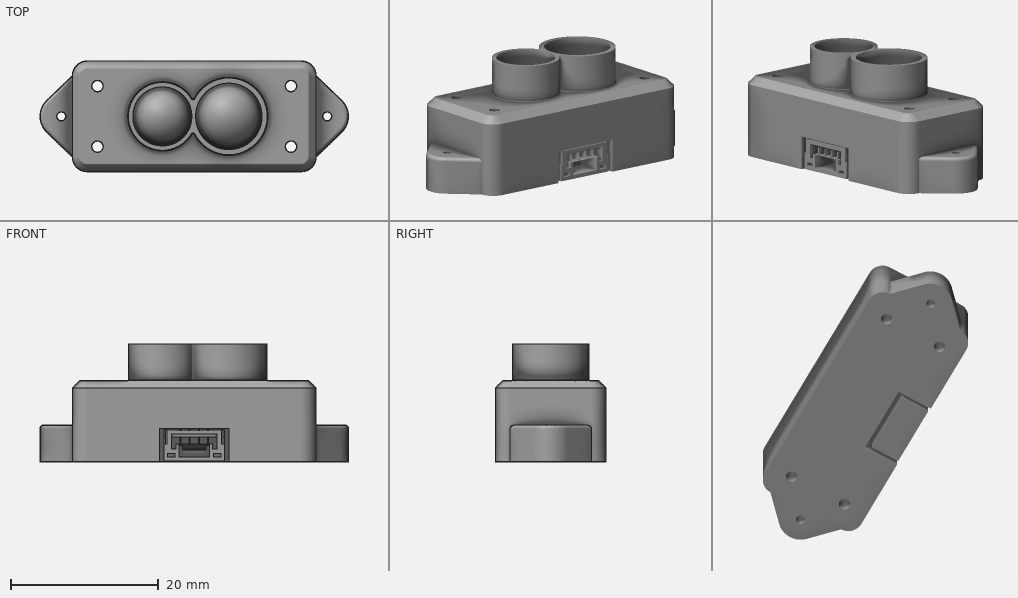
import cadquery as cq
import math

BODY_LENGTH = 33.0
BODY_WIDTH = 15.0
BODY_HEIGHT = 11.0
CORNER_RADIUS = 2.0
TOP_CHAMFER = 1.0
TOP_EDGE_RADIUS = 0.2

EAR_HEIGHT = 5.0
EAR_HOLE_X = 18.0
EAR_HOLE_DIAMETER = 1.18
EAR_TIP_RADIUS = 3.0
EAR_TIP_X = 20.88
EAR_ROOT_HALF_WIDTH = BODY_WIDTH / 2 - CORNER_RADIUS
EAR_EDGE_RADIUS = 0.5

SCREW_HOLE_DIAMETER = 1.5
SCREW_SPACING_X = 26.2
SCREW_SPACING_Y = 8.2

BARREL_TOP = 16.0
TUBE_ROOT = BODY_HEIGHT - TOP_CHAMFER
BARREL_BLEND = 0.1
WAIST_RADIUS = 0.25
SMALL_LENS_DIAMETER = 8.0
LARGE_LENS_DIAMETER = 9.0
SMALL_TUBE_DIAMETER = 9.2
LARGE_TUBE_DIAMETER = 10.4
SMALL_LENS_SEAT = 9.6
LARGE_LENS_SEAT = 10.0
SMALL_LENS_X = -4.32
LARGE_LENS_X = 4.68

FACE_Y = -BODY_WIDTH / 2
POCKET_WIDTH = 9.4
POCKET_HEIGHT = 4.55
POCKET_DEPTH = 5.0
SETBACK = 0.1
PLUG_FACE_Y = FACE_Y + SETBACK
PLUG_WIDTH = 8.25
PLUG_DEPTH = 4.05
PLUG_BOTTOM = 0.12
PLUG_TOP = 4.3
PLUG_WALL_Z = 2.4
PLUG_STEP_Z = 3.4
STEP_DEPTH = 1.0
TAB_THICKNESS = 0.2
TAB_LENGTH = 2.0
TAB_INSET = 0.25

MOUTH_WIDTH = 6.2
MOUTH_TOP = 3.8
MOUTH_CEILING = 3.4
MOUTH_DEPTH = 3.4
SHELF_Z = 2.45
NOTCH_WIDTH = 0.65
NOTCH_BOTTOM = 1.75
KEY_WIDTH = 4.15
KEY_BOTTOM = 0.65

WEDGE_MID_Z = 2.2
WEDGE_LOW_Z = 1.6
WEDGE_MID_DEPTH = 1.6
WEDGE_INSET = 0.5

WINDOW_WIDTH = 1.05
WINDOW_HEIGHT = 0.5
WINDOW_X = 3.12
WINDOW_Z = 0.9
WINDOW_DEPTH = 0.8

PIN_COUNT = 4
PIN_PITCH = 1.25
PIN_WIDTH = 0.15
PIN_TIP_DEPTH = 0.3
PIN_TIP_BEVEL = 0.15


def block(x_min, x_max, y_min, y_max, z_min, z_max):
    size = (x_max - x_min, y_max - y_min, z_max - z_min)
    return cq.Workplane("XY").box(*size, centered=False).translate((x_min, y_min, z_min))


def cylinder(x, y, diameter, z_min, z_max):
    return cq.Workplane("XY", origin=(x, y, z_min)).circle(diameter / 2).extrude(z_max - z_min)


def make_ear():
    """Ear on the +X end: straight sides tangent to a round tip."""
    root_x = BODY_LENGTH / 2
    arc_x = EAR_TIP_X - EAR_TIP_RADIUS
    run = arc_x - root_x
    root_distance = math.hypot(run, EAR_ROOT_HALF_WIDTH)
    normal = math.asin(EAR_TIP_RADIUS / root_distance) + math.atan2(run, EAR_ROOT_HALF_WIDTH)
    tangent_x = arc_x + EAR_TIP_RADIUS * math.cos(normal)
    tangent_y = EAR_TIP_RADIUS * math.sin(normal)
    inner_x = root_x - CORNER_RADIUS
    ear = (
        cq.Workplane("XY")
        .moveTo(inner_x, -EAR_ROOT_HALF_WIDTH)
        .lineTo(root_x, -EAR_ROOT_HALF_WIDTH)
        .lineTo(tangent_x, -tangent_y)
        .threePointArc((EAR_TIP_X, 0), (tangent_x, tangent_y))
        .lineTo(root_x, EAR_ROOT_HALF_WIDTH)
        .lineTo(inner_x, EAR_ROOT_HALF_WIDTH)
        .close()
        .extrude(EAR_HEIGHT)
    )
    tip_edges = cq.selectors.BoxSelector(
        (root_x + 0.01, -BODY_WIDTH, EAR_HEIGHT - 0.01),
        (root_x + BODY_LENGTH, BODY_WIDTH, EAR_HEIGHT + 0.01),
    )
    ear = ear.edges(tip_edges).fillet(EAR_EDGE_RADIUS)
    return ear.cut(cylinder(EAR_HOLE_X, 0, EAR_HOLE_DIAMETER, 0, EAR_HEIGHT))


def make_barrels():
    small = cylinder(SMALL_LENS_X, 0, SMALL_TUBE_DIAMETER, TUBE_ROOT, BARREL_TOP)
    large = cylinder(LARGE_LENS_X, 0, LARGE_TUBE_DIAMETER, TUBE_ROOT, BARREL_TOP)
    barrels = small.union(large)
    waist = cq.selectors.BoxSelector((-1, -3, TUBE_ROOT), (1, 3, BARREL_TOP))
    return barrels.edges("|Z").edges(waist).fillet(WAIST_RADIUS)


def make_housing():
    body = (
        cq.Workplane("XY")
        .rect(BODY_LENGTH, BODY_WIDTH)
        .extrude(BODY_HEIGHT)
        .edges("|Z")
        .fillet(CORNER_RADIUS)
        .faces(">Z")
        .edges()
        .chamfer(TOP_CHAMFER)
        .faces(">Z")
        .edges()
        .fillet(TOP_EDGE_RADIUS)
    )
    body = body.union(make_barrels())
    foot = cq.selectors.BoxSelector(
        (-BODY_LENGTH / 2 + 2, -6, BODY_HEIGHT - 0.01), (BODY_LENGTH / 2 - 2, 6, BODY_HEIGHT + 0.01)
    )
    body = body.edges(foot).chamfer(BARREL_BLEND)
    ear = make_ear()
    body = body.union(ear).union(ear.mirror("YZ"))
    body = body.cut(cylinder(SMALL_LENS_X, 0, SMALL_LENS_DIAMETER, SMALL_LENS_SEAT, BARREL_TOP))
    body = body.cut(cylinder(LARGE_LENS_X, 0, LARGE_LENS_DIAMETER, LARGE_LENS_SEAT, BARREL_TOP))
    for x in (-SCREW_SPACING_X / 2, SCREW_SPACING_X / 2):
        for y in (-SCREW_SPACING_Y / 2, SCREW_SPACING_Y / 2):
            body = body.cut(cylinder(x, y, SCREW_HOLE_DIAMETER, 0, BODY_HEIGHT))
    half = POCKET_WIDTH / 2
    return body.cut(block(-half, half, FACE_Y, FACE_Y + POCKET_DEPTH, 0, POCKET_HEIGHT))


def make_lens(x, diameter, seat):
    """Hemisphere filling the tube, flat side on the seat."""
    radius = diameter / 2
    return (
        cq.Workplane("XZ", origin=(x, 0, seat))
        .lineTo(radius, 0)
        .threePointArc((radius * math.sqrt(0.5), radius * math.sqrt(0.5)), (0, radius))
        .close()
        .revolve(360, (0, 0, 0), (0, 1, 0))
    )


PLUG_BACK_Y = PLUG_FACE_Y + PLUG_DEPTH
MOUTH_BACK_Y = PLUG_FACE_Y + MOUTH_DEPTH


def make_wedge():
    """Shelf under the pins: flat on top, its underside falling towards the back."""
    half = KEY_WIDTH / 2
    profile = (
        cq.Workplane("YZ", origin=(-half, 0, 0))
        .moveTo(PLUG_FACE_Y + SETBACK, SHELF_Z)
        .lineTo(MOUTH_BACK_Y, SHELF_Z)
        .lineTo(MOUTH_BACK_Y, WEDGE_MID_Z)
        .lineTo(PLUG_FACE_Y + WEDGE_MID_DEPTH, WEDGE_MID_Z)
        .close()
        .extrude(KEY_WIDTH)
    )
    rib = (
        cq.Workplane("YZ", origin=(-half + WEDGE_INSET, 0, 0))
        .moveTo(PLUG_FACE_Y + WEDGE_MID_DEPTH, WEDGE_MID_Z)
        .lineTo(MOUTH_BACK_Y, WEDGE_MID_Z)
        .lineTo(MOUTH_BACK_Y, WEDGE_LOW_Z)
        .close()
        .extrude(KEY_WIDTH - 2 * WEDGE_INSET)
    )
    return profile.union(rib)


def make_connector():
    half = PLUG_WIDTH / 2
    core = half - TAB_INSET - TAB_THICKNESS
    plug = block(-half, half, PLUG_FACE_Y, PLUG_BACK_Y, PLUG_BOTTOM, PLUG_WALL_Z)
    plug = plug.union(block(-core, core, PLUG_FACE_Y, PLUG_BACK_Y, PLUG_BOTTOM, PLUG_TOP))
    for step, top in ((1, PLUG_STEP_Z), (2, PLUG_TOP)):
        front = PLUG_FACE_Y + step * STEP_DEPTH
        plug = plug.union(block(-half, half, front, PLUG_BACK_Y, PLUG_BOTTOM, top))
    mouth = MOUTH_WIDTH / 2
    key = KEY_WIDTH / 2
    middle = PLUG_FACE_Y + MOUTH_DEPTH / 2
    plug = plug.cut(block(-mouth, mouth, PLUG_FACE_Y, middle, SHELF_Z, MOUTH_TOP))
    plug = plug.cut(block(-mouth, mouth, PLUG_FACE_Y, MOUTH_BACK_Y, SHELF_Z, MOUTH_CEILING))
    plug = plug.cut(block(-key, key, PLUG_FACE_Y, MOUTH_BACK_Y, KEY_BOTTOM, SHELF_Z))
    for side in (-1, 1):
        notch_x = side * (mouth - NOTCH_WIDTH / 2)
        notch = block(-NOTCH_WIDTH / 2, NOTCH_WIDTH / 2, PLUG_FACE_Y, MOUTH_BACK_Y, NOTCH_BOTTOM, SHELF_Z)
        plug = plug.cut(notch.translate((notch_x, 0, 0)))
        window = block(
            -WINDOW_WIDTH / 2, WINDOW_WIDTH / 2,
            PLUG_FACE_Y, PLUG_FACE_Y + WINDOW_DEPTH,
            WINDOW_Z - WINDOW_HEIGHT / 2, WINDOW_Z + WINDOW_HEIGHT / 2,
        )
        plug = plug.cut(window.translate((side * WINDOW_X, 0, 0)))
    return plug.union(make_wedge())


def make_tab(side):
    inner = PLUG_WIDTH / 2 - TAB_INSET - TAB_THICKNESS
    tab = block(
        inner, inner + TAB_THICKNESS,
        PLUG_FACE_Y, PLUG_FACE_Y + TAB_LENGTH,
        PLUG_WALL_Z, POCKET_HEIGHT,
    )
    return tab if side > 0 else tab.mirror("YZ")


def make_pin(x):
    """Thin upright blade on the shelf, with a lead that rises behind the connector."""
    tip_y = PLUG_FACE_Y + PIN_TIP_DEPTH
    lead_y = FACE_Y + POCKET_DEPTH
    return (
        cq.Workplane("YZ", origin=(x - PIN_WIDTH / 2, 0, 0))
        .moveTo(tip_y, SHELF_Z)
        .lineTo(lead_y, SHELF_Z)
        .lineTo(lead_y, POCKET_HEIGHT)
        .lineTo(PLUG_BACK_Y, POCKET_HEIGHT)
        .lineTo(PLUG_BACK_Y, MOUTH_CEILING)
        .lineTo(tip_y + PIN_TIP_BEVEL, MOUTH_CEILING)
        .lineTo(tip_y + PIN_TIP_BEVEL, SHELF_Z + 2 * PIN_TIP_BEVEL)
        .lineTo(tip_y, SHELF_Z + PIN_TIP_BEVEL)
        .close()
        .extrude(PIN_WIDTH)
    )


housing = make_housing()
small_lens = make_lens(SMALL_LENS_X, SMALL_LENS_DIAMETER, SMALL_LENS_SEAT)
large_lens = make_lens(LARGE_LENS_X, LARGE_LENS_DIAMETER, LARGE_LENS_SEAT)
tabs = [make_tab(side) for side in (-1, 1)]
pins = [make_pin((i - (PIN_COUNT - 1) / 2) * PIN_PITCH) for i in range(PIN_COUNT)]
connector = make_connector()
for insert in tabs + pins:
    connector = connector.cut(insert)

result = cq.Compound.makeCompound(
    [housing.val(), small_lens.val(), large_lens.val(), connector.val()]
    + [tab.val() for tab in tabs]
    + [pin.val() for pin in pins]
)